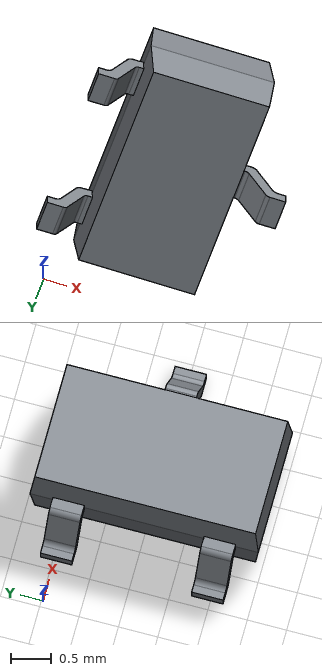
import cadquery as cq
import math

body_width = 1.6
body_length = 2.9
body_height = 1.1
parting_height = body_height / 2
draft_angle = 5.0

lead_span = 2.76
lead_width = 0.4
lead_thickness = 0.155
shoulder_top = 0.615
foot_length = 0.15
slope_run = 0.25
outer_bend_radius = 0.09
inner_bend_radius = 0.06
lead_embed = 0.2
paired_lead_offset = 0.96


def make_body():
    """Two drafted blocks, widest where they meet."""
    parting_plane = cq.Workplane("XY").workplane(offset=parting_height)
    upper = parting_plane.rect(body_width, body_length).extrude(parting_height, taper=draft_angle)
    lower = upper.mirror("XY", (0, 0, parting_height))
    return upper.union(lower)


def make_lead():
    """One lead on the +X side, centred on Y = 0, with its foot on Z = 0."""
    tip_x = lead_span / 2
    root_x = body_width / 2 - lead_embed
    foot_corner_x = tip_x - foot_length
    shoulder_corner_x = foot_corner_x - slope_run
    shoulder_bottom = shoulder_top - lead_thickness

    slope_angle = math.atan2(shoulder_bottom, slope_run)
    corner_shift = lead_thickness * math.tan(slope_angle / 2)

    upper_corners = [(shoulder_corner_x, shoulder_top), (foot_corner_x, lead_thickness)]
    lower_corners = [(x - corner_shift, z - lead_thickness) for x, z in upper_corners]

    profile = (
        [(root_x, shoulder_top)]
        + upper_corners
        + [(tip_x, lead_thickness), (tip_x, 0)]
        + lower_corners[::-1]
        + [(root_x, shoulder_bottom)]
    )
    lead = cq.Workplane("XZ").polyline(profile).close().extrude(lead_width / 2, both=True)
    lead = round_bends(lead, upper_corners, outer_bend_radius)
    return round_bends(lead, lower_corners, inner_bend_radius)


def round_bends(lead, corners, radius):
    """Fillet the edges that run along Y through the given (x, z) corners."""
    for x, z in corners:
        lead = lead.edges(cq.selectors.NearestToPointSelector((x, 0, z))).fillet(radius)
    return lead


single_lead = make_lead()
paired_lead = single_lead.mirror("YZ")

result = make_body().union(single_lead)
for side in (-1, 1):
    result = result.union(paired_lead.translate((0, side * paired_lead_offset, 0)))